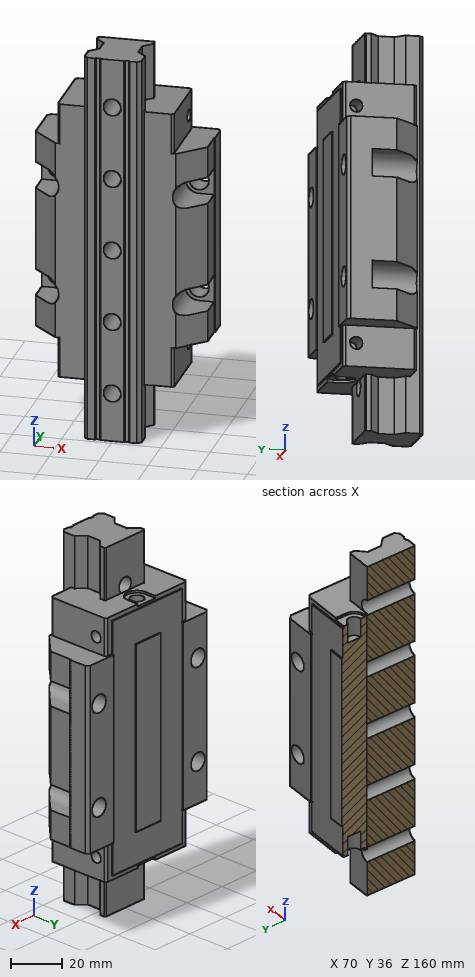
import cadquery as cq


RAIL_LENGTH = 160.0
RAIL_HALF_WIDTH = 11.5
RAIL_HEIGHT = 23.5
RAIL_WAIST_HALF_WIDTH = 7.8
RAIL_FOOT_HEIGHT = 7.2
RAIL_HEAD_SIDE = 2.5
RAIL_FLANK = RAIL_HALF_WIDTH - RAIL_WAIST_HALF_WIDTH
RAIL_FOOT_CHAMFER = 1.5
RAIL_HEAD_CHAMFER = 0.5
FOOT_GROOVE_WIDTH = 2.4
FOOT_GROOVE_OFFSET = 5.8
FOOT_GROOVE_DEPTH = 0.5
RAIL_HOLE_DIAMETER = 7.0
RAIL_HOLE_PITCH = 30.0
RAIL_HOLE_COUNT = 5

CARRIAGE_BOTTOM = 5.5
CARRIAGE_TOP = 36.0
BLOCK_LENGTH = 81.5
BLOCK_HALF_WIDTH = 35.0
BLOCK_BOTTOM_HALF_WIDTH = 24.3
FLANGE_SLOPE_TOP = 16.2
FLANGE_CHAMFER = 1.4
SIDE_RELIEF = 0.4
SIDE_RELIEF_TOP = 26.4
FLANGE_THICKNESS = 10.0
FLANGE_UNDERSIDE = CARRIAGE_TOP - FLANGE_THICKNESS
TOP_GROOVE_INNER = 7.1
TOP_GROOVE_OUTER = 20.0
TOP_GROOVE_DEPTH = 0.5
GROOVE_FLOOR = CARRIAGE_TOP - TOP_GROOVE_DEPTH

BOLT_SPACING_X = 57.0
BOLT_SPACING_Z = 45.0
BOLT_HOLE_DIAMETER = 8.0
BOLT_SLOT_WIDTH = 11.0

CARRIAGE_LENGTH = 114.5
END_WIDTH = 47.0
END_TOP = 35.0
END_CHAMFER = 1.0
PAD_INSET = 2.0
PORT_HEIGHT = 29.8
PORT_RECESS_WIDTH = 10.2
PORT_RECESS_DEPTH = 1.0
PORT_DIAMETER = 6.0
PORT_DEPTH = 10.0
SIDE_PORT_DIAMETER = 5.0
SIDE_PORT_DEPTH = 10.0
SIDE_PORT_INSET = 9.5


def box(x_min, x_max, y_min, y_max, length, z_center=0.0):
    """Box between the given X and Y limits, centred on z_center along Z."""
    center = ((x_min + x_max) / 2, (y_min + y_max) / 2, z_center)
    return cq.Workplane("XY").box(x_max - x_min, y_max - y_min, length).translate(center)


def cylinder(start, direction, diameter, length):
    """Cylinder that starts at a point and runs along a direction."""
    solid = cq.Solid.makeCylinder(diameter / 2, length, cq.Vector(*start), cq.Vector(*direction))
    return cq.Workplane(obj=solid)


def rail_profile():
    """Rail section prism without bores, waisted on both sides."""
    head_side_bottom = RAIL_HEIGHT - RAIL_HEAD_SIDE
    right_side = [
        (RAIL_HALF_WIDTH - RAIL_FOOT_CHAMFER, 0),
        (RAIL_HALF_WIDTH, RAIL_FOOT_CHAMFER),
        (RAIL_HALF_WIDTH, RAIL_FOOT_HEIGHT),
        (RAIL_WAIST_HALF_WIDTH, RAIL_FOOT_HEIGHT + RAIL_FLANK),
        (RAIL_WAIST_HALF_WIDTH, head_side_bottom - RAIL_FLANK),
        (RAIL_HALF_WIDTH, head_side_bottom),
        (RAIL_HALF_WIDTH, RAIL_HEIGHT - RAIL_HEAD_CHAMFER),
        (RAIL_HALF_WIDTH - RAIL_HEAD_CHAMFER, RAIL_HEIGHT),
    ]
    left_side = [(-x, y) for x, y in reversed(right_side)]
    section = cq.Workplane("XY").polyline(right_side + left_side).close()
    return section.extrude(RAIL_LENGTH / 2, both=True)


def foot_groove(x_center):
    """Cutter for one foot groove, a trapezoid with 45 degree walls."""
    mouth = FOOT_GROOVE_WIDTH / 2
    floor = mouth - FOOT_GROOVE_DEPTH
    outline = [
        (x_center - mouth, 0),
        (x_center + mouth, 0),
        (x_center + floor, FOOT_GROOVE_DEPTH),
        (x_center - floor, FOOT_GROOVE_DEPTH),
    ]
    return cq.Workplane("XY").polyline(outline).close().extrude(RAIL_LENGTH / 2, both=True)


def make_rail():
    """Rail with two foot grooves and a row of through holes."""
    rail = rail_profile()
    for side in (-1, 1):
        rail = rail.cut(foot_groove(side * FOOT_GROOVE_OFFSET))
    for index in range(RAIL_HOLE_COUNT):
        z = (index - (RAIL_HOLE_COUNT - 1) / 2) * RAIL_HOLE_PITCH
        rail = rail.cut(cylinder((0, 0, z), (0, 1, 0), RAIL_HOLE_DIAMETER, RAIL_HEIGHT))
    return rail


def make_block():
    """Flanged middle of the carriage; the lower part of its +X side is relieved."""
    outline = [
        (-BLOCK_BOTTOM_HALF_WIDTH, CARRIAGE_BOTTOM),
        (BLOCK_BOTTOM_HALF_WIDTH, CARRIAGE_BOTTOM),
        (BLOCK_HALF_WIDTH, FLANGE_SLOPE_TOP),
        (BLOCK_HALF_WIDTH, CARRIAGE_TOP - FLANGE_CHAMFER),
        (BLOCK_HALF_WIDTH - FLANGE_CHAMFER, CARRIAGE_TOP),
        (FLANGE_CHAMFER - BLOCK_HALF_WIDTH, CARRIAGE_TOP),
        (-BLOCK_HALF_WIDTH, CARRIAGE_TOP - FLANGE_CHAMFER),
        (-BLOCK_HALF_WIDTH, FLANGE_SLOPE_TOP),
    ]
    block = cq.Workplane("XY").polyline(outline).close().extrude(BLOCK_LENGTH / 2, both=True)
    relief = box(
        BLOCK_HALF_WIDTH - SIDE_RELIEF, BLOCK_HALF_WIDTH, CARRIAGE_BOTTOM, SIDE_RELIEF_TOP, BLOCK_LENGTH
    )
    block = block.cut(relief)
    for x_min in (-TOP_GROOVE_OUTER, TOP_GROOVE_INNER):
        x_max = x_min + TOP_GROOVE_OUTER - TOP_GROOVE_INNER
        block = block.cut(box(x_min, x_max, GROOVE_FLOOR, CARRIAGE_TOP, BLOCK_LENGTH))
    return block


def bolt_cutter(side, z):
    """Bolt hole through the flange and the round-ended slot below it."""
    x = side * BOLT_SPACING_X / 2
    edge = side * BLOCK_HALF_WIDTH
    slot_height = FLANGE_UNDERSIDE - CARRIAGE_BOTTOM
    hole = cylinder((x, CARRIAGE_BOTTOM, z), (0, 1, 0), BOLT_HOLE_DIAMETER, CARRIAGE_TOP - CARRIAGE_BOTTOM)
    slot_end = cylinder((x, CARRIAGE_BOTTOM, z), (0, 1, 0), BOLT_SLOT_WIDTH, slot_height)
    slot = box(min(x, edge), max(x, edge), CARRIAGE_BOTTOM, FLANGE_UNDERSIDE, BOLT_SLOT_WIDTH, z)
    return hole.union(slot_end).union(slot)


def make_end_sections():
    """Narrow chamfered bar as long as the carriage, with a raised pad set back from its ends."""
    half_width = END_WIDTH / 2
    bar = box(-half_width, half_width, CARRIAGE_BOTTOM, END_TOP, CARRIAGE_LENGTH)
    bar = bar.edges("|Z").chamfer(END_CHAMFER)
    pad_length = CARRIAGE_LENGTH - 2 * PAD_INSET
    pad = box(-TOP_GROOVE_OUTER, TOP_GROOVE_OUTER, END_TOP, GROOVE_FLOOR, pad_length)
    return bar.union(pad)


def port_cutter(end):
    """U-shaped recess and lubrication ports of one carriage end."""
    half_length = CARRIAGE_LENGTH / 2
    half_width = PORT_RECESS_WIDTH / 2
    end_point = (0, PORT_HEIGHT, end * half_length)
    inward = (0, 0, -end)
    recess_z = end * (half_length - PORT_RECESS_DEPTH / 2)
    cutter = box(-half_width, half_width, PORT_HEIGHT, END_TOP, PORT_RECESS_DEPTH, recess_z)
    cutter = cutter.union(cylinder(end_point, inward, PORT_RECESS_WIDTH, PORT_RECESS_DEPTH))
    cutter = cutter.union(cylinder(end_point, inward, PORT_DIAMETER, PORT_DEPTH))
    return cutter


def side_port(end, side):
    """Blind lubrication port in one side of one carriage end."""
    start = (side * END_WIDTH / 2, PORT_HEIGHT, end * (CARRIAGE_LENGTH / 2 - SIDE_PORT_INSET))
    return cylinder(start, (-side, 0, 0), SIDE_PORT_DIAMETER, SIDE_PORT_DEPTH)


def make_carriage():
    """Block and end sections in one piece, fitted around the rail."""
    carriage = make_block().union(make_end_sections())
    for side in (-1, 1):
        for end in (-1, 1):
            carriage = carriage.cut(bolt_cutter(side, end * BOLT_SPACING_Z / 2))
            carriage = carriage.cut(side_port(end, side))
    for end in (-1, 1):
        carriage = carriage.cut(port_cutter(end))
    return carriage.cut(rail_profile())


rail = make_rail()
carriage = make_carriage()
result = cq.Compound.makeCompound([carriage.val(), rail.val()])